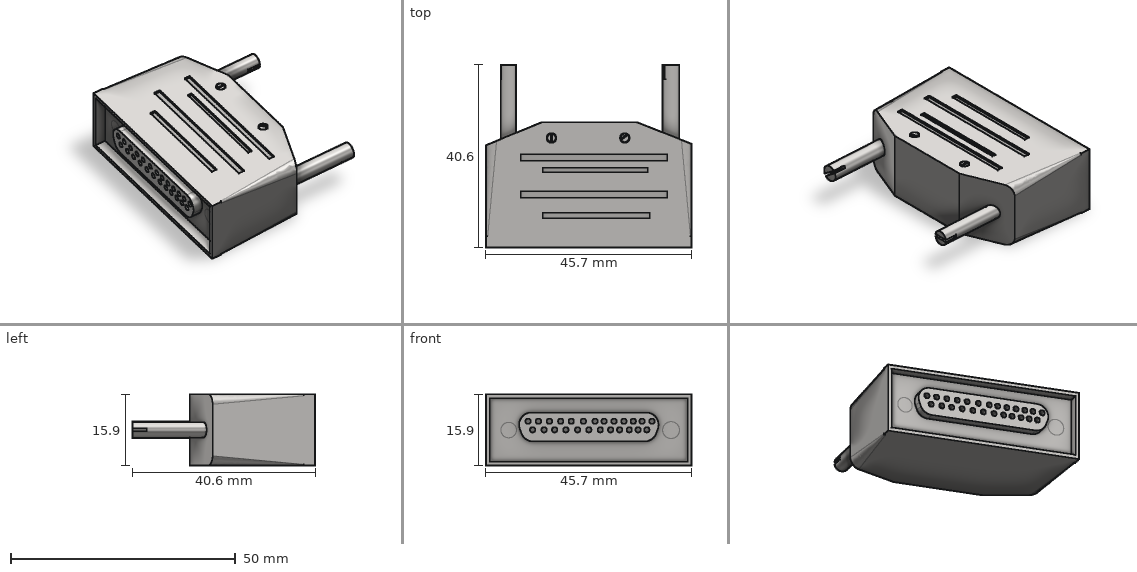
import cadquery as cq
import math

WIDTH = 45.72
HEIGHT = 15.88
HOOD_DEPTH = 27.94
BACK_LEFT = -10.4
BACK_RIGHT = 10.65
LEFT_SIDE_LENGTH = 22.8
RIGHT_SIDE_LENGTH = 23.1

ROUND_START = 2.54
ROUND_END = LEFT_SIDE_LENGTH
FRONT_INSET_X = 0.4
FRONT_INSET_Z = 0.3
BACK_INSET_X = 2.45
BACK_INSET_Z = 2.2
CUTTER_MARGIN = 1.0

WALL = 0.89
RECESS_DEPTH = 2.54
SHELL_HEIGHT = 6.4
SHELL_TOP = 3.83
SHELL_ARC_RADIUS = 2.7
SHELL_HALF_WIDTH = 15.5
SHELL_SLANT = math.radians(20)
SHELL_LENGTH = 2.4

SOCKET_DIAMETER = 1.2
SOCKET_DEPTH = 2.0
UPPER_ROW_Z = 1.9
LOWER_ROW_Z = 0.0
UPPER_ROW_X = [-13.5, -11.2, -8.75, -6.25, -3.9, -1.2, 1.4, 3.4, 5.6, 7.8, 9.9, 11.85, 14.05]
LOWER_ROW_X = [-12.5, -9.95, -7.6, -5.1, -2.5, 0.0, 2.55, 4.85, 6.85, 9.0, 10.95, 12.9]

REAR_Y = 40.64
RODS = [(-17.87, 3.45, 0), (18.23, 3.75, 36)]
ROD_SLOT_WIDTH = 0.6
ROD_SLOT_LENGTH = 3.2

GROOVES = [
    (-15.15, 17.45, 19.37, 20.73),
    (-10.2, 13.05, 16.76, 17.75),
    (-15.15, 17.45, 11.1, 12.6),
    (-10.2, 13.55, 6.52, 7.82),
]
GROOVE_DEPTH = 0.5

COVER_SCREWS = [(-8.3, 90, 0), (8.0, 37, 0.25)]
COVER_SCREW_Y = 24.4
SCREW_HOLE_DIAMETER = 2.15
SCREW_HEAD_DIAMETER = 1.85
SCREW_GAP_DEPTH = 0.5
SCREW_SLOT_WIDTH = 0.25
SCREW_SLOT_DEPTH = 0.3


def make_hood():
    half = WIDTH / 2
    outline = [
        (-half, 0),
        (half, 0),
        (half, RIGHT_SIDE_LENGTH),
        (BACK_RIGHT, HOOD_DEPTH),
        (BACK_LEFT, HOOD_DEPTH),
        (-half, LEFT_SIDE_LENGTH),
    ]
    base = cq.Workplane("XY", origin=(0, 0, -HEIGHT / 2))
    return base.polyline(outline).close().extrude(HEIGHT)


def corner_section(y, inset_x, inset_z):
    """Area between the upper right corner and its round, at depth y."""
    x = WIDTH / 2
    z = HEIGHT / 2
    mid_fraction = 1 - math.cos(math.radians(45))
    middle = (x - inset_x * mid_fraction, z - inset_z * mid_fraction)
    return (
        cq.Workplane("XZ", origin=(0, y, 0))
        .moveTo(x - inset_x, z)
        .threePointArc(middle, (x, z - inset_z))
        .lineTo(x + CUTTER_MARGIN, z - inset_z)
        .lineTo(x + CUTTER_MARGIN, z + CUTTER_MARGIN)
        .lineTo(x - inset_x, z + CUTTER_MARGIN)
        .close()
        .val()
    )


def make_edge_rounds():
    """Cutters for all four edges, continued to the back of the hood at the same taper."""
    run_on = (HOOD_DEPTH - ROUND_START) / (ROUND_END - ROUND_START)
    end_x = FRONT_INSET_X + (BACK_INSET_X - FRONT_INSET_X) * run_on
    end_z = FRONT_INSET_Z + (BACK_INSET_Z - FRONT_INSET_Z) * run_on
    front = corner_section(ROUND_START, FRONT_INSET_X, FRONT_INSET_Z)
    back = corner_section(HOOD_DEPTH, end_x, end_z)
    upper_right = cq.Workplane(cq.Solid.makeLoft([front, back], True))
    right = upper_right.union(upper_right.mirror("XY"))
    return right.union(right.mirror("YZ"))


def make_recess():
    return cq.Workplane("XY").box(
        WIDTH - 2 * WALL, RECESS_DEPTH, HEIGHT - 2 * WALL, centered=(True, False, True)
    )


def make_shell():
    """D-shaped connector body standing on the recess floor, with its sockets."""
    bottom = SHELL_TOP - SHELL_HEIGHT
    arc_x = SHELL_HALF_WIDTH - SHELL_ARC_RADIUS
    arc_z = SHELL_TOP - SHELL_ARC_RADIUS

    def side_x(z):
        return arc_x + SHELL_ARC_RADIUS / math.cos(SHELL_SLANT) + (z - arc_z) * math.tan(SHELL_SLANT)

    outline = [
        (-side_x(SHELL_TOP), SHELL_TOP),
        (side_x(SHELL_TOP), SHELL_TOP),
        (side_x(bottom), bottom),
        (-side_x(bottom), bottom),
    ]
    shell = (
        cq.Workplane("XZ", origin=(0, RECESS_DEPTH, 0))
        .polyline(outline)
        .close()
        .extrude(SHELL_LENGTH)
        .edges("|Y")
        .fillet(SHELL_ARC_RADIUS)
    )
    sockets = [(x, UPPER_ROW_Z) for x in UPPER_ROW_X] + [(x, LOWER_ROW_Z) for x in LOWER_ROW_X]
    shell_face = shell.faces("<Y").workplane(origin=(0, 0, 0))
    return shell_face.pushPoints(sockets).hole(SOCKET_DIAMETER, SOCKET_DEPTH)


def make_rod(x, diameter, slot_tilt):
    """Rod from the recess floor to the rear, with a driver slot across its end."""
    length = REAR_Y - RECESS_DEPTH
    rod = cq.Workplane("XZ", origin=(x, RECESS_DEPTH, 0)).circle(diameter / 2).extrude(-length)
    slot = (
        cq.Workplane("XY")
        .box(2 * diameter, 2 * ROD_SLOT_LENGTH, ROD_SLOT_WIDTH)
        .rotate((0, 0, 0), (0, 1, 0), slot_tilt)
        .translate((x, REAR_Y, 0))
    )
    return rod.cut(slot)


def make_groove(left, right, front, back):
    corner = cq.Workplane("XY", origin=(left, front, HEIGHT / 2 - GROOVE_DEPTH))
    return corner.box(right - left, back - front, GROOVE_DEPTH, centered=False)


def make_screw_cut(x, slot_angle, slot_offset):
    """Ring-shaped gap around a flush screw head, and the slot across the head."""
    top = cq.Workplane("XY", origin=(x, COVER_SCREW_Y, HEIGHT / 2))
    gap = top.circle(SCREW_HOLE_DIAMETER / 2).circle(SCREW_HEAD_DIAMETER / 2).extrude(-SCREW_GAP_DEPTH)
    slot = (
        cq.Workplane("XY")
        .center(0, slot_offset)
        .rect(SCREW_HOLE_DIAMETER, SCREW_SLOT_WIDTH)
        .extrude(-SCREW_SLOT_DEPTH)
        .rotate((0, 0, 0), (0, 0, 1), slot_angle)
        .translate((x, COVER_SCREW_Y, HEIGHT / 2))
    )
    hole = top.circle(SCREW_HOLE_DIAMETER / 2).extrude(-SCREW_GAP_DEPTH)
    return gap.union(slot.intersect(hole))


result = make_hood().cut(make_edge_rounds()).cut(make_recess())
for groove in GROOVES:
    result = result.cut(make_groove(*groove))
for screw in COVER_SCREWS:
    result = result.cut(make_screw_cut(*screw))
result = result.union(make_shell())
for rod in RODS:
    result = result.union(make_rod(*rod), clean=False)